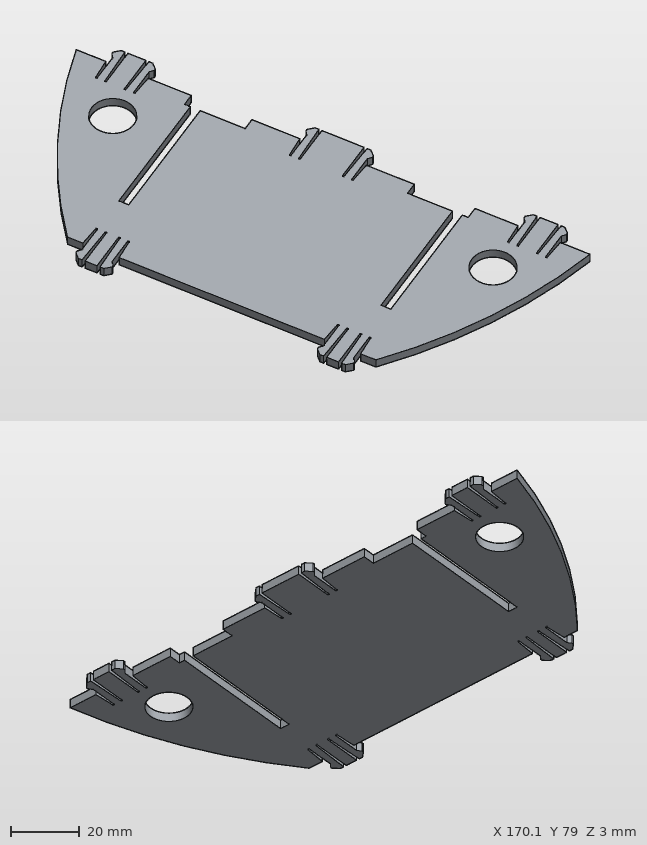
import cadquery as cq

thickness = 3.0
top_width = 170.1
bottom_width = 102.0
plate_depth = 67.0
side_arc_radius = 170.1
top_y = plate_depth / 2
bottom_y = -plate_depth / 2

step_depth = 4.0
step_inner_x = 26.9
step_outer_x = 47.0

slot_x = 43.4
slot_clearance = 0.2
slot_width = thickness + slot_clearance
slot_depth = 47.1

hole_diameter = 14.0
hole_x = 63.0
hole_drop = 18.2

tab_reach = 6.0
slit_depth = 7.1
slit_mouth = 1.0
slit_root = 0.5
finger_width = 2.0
hook_overhang = 1.0
hook_peak_drop = 2.0
hook_peak_flat = 0.7
hook_length = 3.5
hook_tip_inset = 0.77

corner_tab_x = 68.2
bottom_tab_x = 40.0
narrow_tongue_width = 6.0
wide_tongue_width = 14.0
bottom_tongue_width = 3.9


def make_plate():
    """Blank with straight top and bottom edges and bowed sides."""
    return (
        cq.Workplane("XY")
        .moveTo(-top_width / 2, top_y)
        .lineTo(top_width / 2, top_y)
        .radiusArc((bottom_width / 2, bottom_y), side_arc_radius)
        .lineTo(-bottom_width / 2, bottom_y)
        .radiusArc((-top_width / 2, top_y), side_arc_radius)
        .close()
        .extrude(thickness)
    )


def box_between(x_start, x_end, y_start, y_end):
    """Full-thickness block spanning two X and two Y limits."""
    return (
        cq.Workplane("XY")
        .box(x_end - x_start, y_end - y_start, thickness, centered=False)
        .translate((x_start, y_start, 0))
    )


def prism(points):
    return cq.Workplane("XY").polyline(points).close().extrude(thickness)


def cut_top_edge(body):
    """Cut the recesses, long slots and round holes on both sides."""
    for side in (-1, 1):
        recess_x = side * (step_inner_x + step_outer_x) / 2
        recess_half = (step_outer_x - step_inner_x) / 2
        body = body.cut(
            box_between(recess_x - recess_half, recess_x + recess_half, top_y - step_depth, top_y)
        )
        slot_centre = side * slot_x
        body = body.cut(
            box_between(slot_centre - slot_width / 2, slot_centre + slot_width / 2,
                        top_y - slot_depth, top_y)
        )
        hole = (
            cq.Workplane("XY")
            .center(side * hole_x, top_y - hole_drop)
            .circle(hole_diameter / 2)
            .extrude(thickness)
        )
        body = body.cut(hole)
    return body


def add_snap_tab(body, tab_x, edge_y, outward, tongue_width):
    """Add a tab at tab_x on the edge at edge_y; outward is +1 for +Y, -1 for -Y."""
    tongue_half = tongue_width / 2
    finger_inner = tongue_half + slit_mouth
    finger_outer = finger_inner + finger_width
    opening_half = finger_outer + slit_mouth
    hook_peak = tab_reach - hook_peak_drop

    def place(side, outline):
        """Map (distance from tab axis, distance beyond the edge) into the plate."""
        return prism([(tab_x + side * across, edge_y + outward * along) for across, along in outline])

    tongue = [
        (-tongue_half, -slit_depth),
        (tongue_half, -slit_depth),
        (tongue_half, tab_reach),
        (-tongue_half, tab_reach),
    ]
    opening = [
        (0, 0),
        (0, -slit_depth),
        (finger_outer + slit_root, -slit_depth),
        (opening_half, 0),
    ]
    finger = [
        (tongue_half + slit_root, -slit_depth),
        (finger_outer, -slit_depth),
        (finger_outer, tab_reach - hook_length),
        (finger_outer + hook_overhang, hook_peak - hook_peak_flat / 2),
        (finger_outer + hook_overhang, hook_peak + hook_peak_flat / 2),
        (finger_outer - hook_tip_inset, tab_reach),
        (finger_inner, tab_reach),
    ]
    for side in (-1, 1):
        body = body.cut(place(side, opening))
    body = body.union(place(1, tongue))
    for side in (-1, 1):
        body = body.union(place(side, finger))
    return body


result = cut_top_edge(make_plate())
result = add_snap_tab(result, 0, top_y, 1, wide_tongue_width)
for side in (-1, 1):
    result = add_snap_tab(result, side * corner_tab_x, top_y, 1, narrow_tongue_width)
    result = add_snap_tab(result, side * bottom_tab_x, bottom_y, -1, bottom_tongue_width)